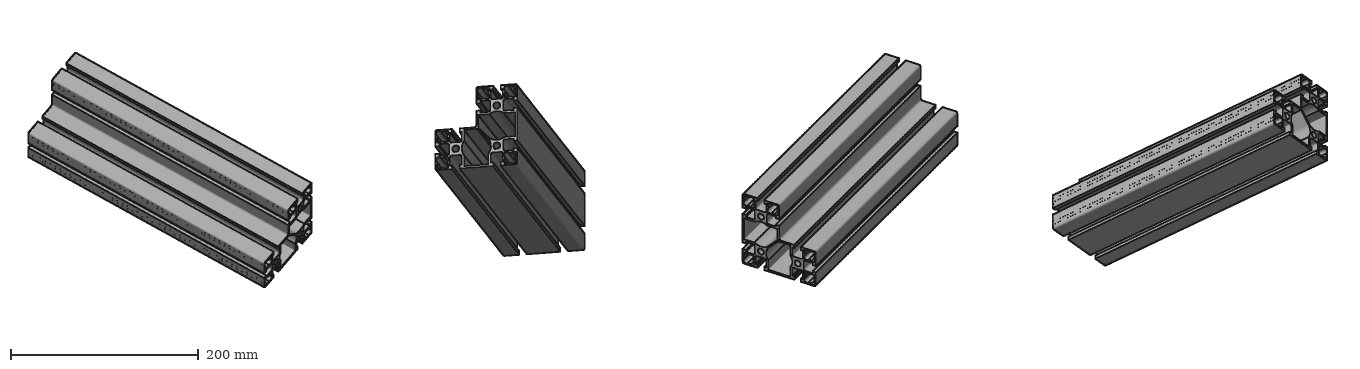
import cadquery as cq
import math

LENGTH = 304.8
MODULE = 45.0
HALF = MODULE / 2
OUTER_RADIUS = 2.5

SLOT_OPENING_HALF = 4.15
SLOT_INNER_HALF = 6.45
SLOT_FLOOR = 7.3
LIP_THICKNESS = 4.2
SLOT_FLOOR_RADIUS = 2.0
CORE_HOLE_DIAMETER = 7.27

LOBE_OUTER_WALL = 1.4
LOBE_SLOT_WALL = 1.8
HOLLOW_RADIUS = 1.8
RIB_HEIGHT = 0.9
RIB_BASE_HALF = 2.0

CAVITY_WALL = 2.3
CAVITY_CONCAVE_WALL = 2.1
CAVITY_END = 9.1
CAVITY_CORNER_RADIUS = 0.5
CAVITY_BULGE_HALF_WIDTH = 8.0
CAVITY_BULGE_HEIGHT = 2.6

WEB_THICKNESS = 1.7

CORNER_MODULE = (HALF, -HALF)
UPPER_MODULE = (HALF, HALF)
SIDE_MODULE = (-HALF, -HALF)

UP = 90
DOWN = -90
PLUS_Y = 0
MINUS_Y = 180

SLOTS = [
    (UPPER_MODULE, PLUS_Y),
    (UPPER_MODULE, UP),
    (UPPER_MODULE, MINUS_Y),
    (CORNER_MODULE, PLUS_Y),
    (CORNER_MODULE, DOWN),
    (SIDE_MODULE, DOWN),
    (SIDE_MODULE, MINUS_Y),
    (SIDE_MODULE, UP),
]

LOBES = [
    (UPPER_MODULE, 1, 1),
    (UPPER_MODULE, -1, 1),
    (CORNER_MODULE, 1, -1),
    (SIDE_MODULE, -1, -1),
    (SIDE_MODULE, -1, 1),
]


def place(cutter, center, angle=0):
    """Turn a cutter about the X axis and move it to a module centre."""
    return cutter.rotate((0, 0, 0), (1, 0, 0), angle).translate((0, center[0], center[1]))


def section():
    """Workplane whose local axes are Y and Z, at the -X end of the part."""
    return cq.Workplane("YZ", origin=(-LENGTH / 2, 0, 0))


def make_body():
    body = (
        section()
        .moveTo(MODULE, MODULE)
        .lineTo(0, MODULE)
        .lineTo(0, 0)
        .lineTo(-MODULE, 0)
        .lineTo(-MODULE, -MODULE)
        .lineTo(MODULE, -MODULE)
        .close()
        .extrude(LENGTH)
    )
    return body.edges("|X").fillet(OUTER_RADIUS)


def make_slot():
    """T-slot that opens towards +Y from a module centred on the origin."""
    lip_inside = HALF - LIP_THICKNESS
    undercut = (
        section()
        .center((SLOT_FLOOR + lip_inside) / 2, 0)
        .rect(lip_inside - SLOT_FLOOR, 2 * SLOT_INNER_HALF)
        .extrude(LENGTH)
        .edges("|X and <Y")
        .fillet(SLOT_FLOOR_RADIUS)
    )
    opening = (
        section()
        .center(HALF, 0)
        .rect(2 * LIP_THICKNESS, 2 * SLOT_OPENING_HALF)
        .extrude(LENGTH)
    )
    return undercut.union(opening)


def make_lobe_hollow():
    """Ribbed square hollow centred on the origin."""
    size = HALF - LOBE_OUTER_WALL - SLOT_INNER_HALF - LOBE_SLOT_WALL
    hollow = section().rect(size, size).extrude(LENGTH).edges("|X").fillet(HOLLOW_RADIUS)
    rib = (
        section()
        .moveTo(size / 2, -RIB_BASE_HALF)
        .threePointArc((size / 2 - RIB_HEIGHT, 0), (size / 2, RIB_BASE_HALF))
        .close()
        .extrude(LENGTH)
    )
    for angle in (PLUS_Y, UP, MINUS_Y, DOWN):
        hollow = hollow.cut(place(rib, (0, 0), angle))
    return hollow


def make_upper_cavity():
    """Cavity between the corner module and the upper module, bulging into both cores."""
    outer = MODULE - CAVITY_WALL
    inner = CAVITY_CONCAVE_WALL
    top = HALF - CAVITY_END
    bottom = -HALF + CAVITY_END
    bulge_right = HALF - CAVITY_BULGE_HALF_WIDTH
    bulge_left = HALF + CAVITY_BULGE_HALF_WIDTH
    return (
        section()
        .moveTo(inner, top)
        .lineTo(bulge_right, top)
        .threePointArc((HALF, top + CAVITY_BULGE_HEIGHT), (bulge_left, top))
        .lineTo(outer, top)
        .lineTo(outer, bottom)
        .lineTo(bulge_left, bottom)
        .threePointArc((HALF, bottom - CAVITY_BULGE_HEIGHT), (bulge_right, bottom))
        .lineTo(inner, bottom)
        .close()
        .extrude(LENGTH)
        .edges("|X and >Y")
        .fillet(CAVITY_CORNER_RADIUS)
    )


def make_diagonal_half():
    """Region above the diagonal web, on the upper module's side."""
    offset = WEB_THICKNESS / math.sqrt(2)
    reach = 2 * MODULE
    return (
        section()
        .moveTo(-reach, reach + offset)
        .lineTo(reach, -reach + offset)
        .lineTo(reach, reach)
        .close()
        .extrude(LENGTH)
    )


def make_cavities():
    """Both large cavities; the side one mirrors the upper one across the diagonal."""
    upper = make_upper_cavity().intersect(make_diagonal_half())
    side = upper.mirror("XZ").rotate((0, 0, 0), (1, 0, 0), UP)
    return upper, side


def make_part():
    part = make_body()

    slot = make_slot()
    for center, angle in SLOTS:
        part = part.cut(place(slot, center, angle))

    hollow = make_lobe_hollow()
    hollow_offset = (HALF - LOBE_OUTER_WALL + SLOT_INNER_HALF + LOBE_SLOT_WALL) / 2
    for center, y_sign, z_sign in LOBES:
        lobe_center = (center[0] + y_sign * hollow_offset, center[1] + z_sign * hollow_offset)
        part = part.cut(place(hollow, lobe_center))

    core_hole = section().circle(CORE_HOLE_DIAMETER / 2).extrude(LENGTH)
    for center in (CORNER_MODULE, UPPER_MODULE, SIDE_MODULE):
        part = part.cut(place(core_hole, center))

    for cavity in make_cavities():
        part = part.cut(cavity)
    return part


result = make_part()